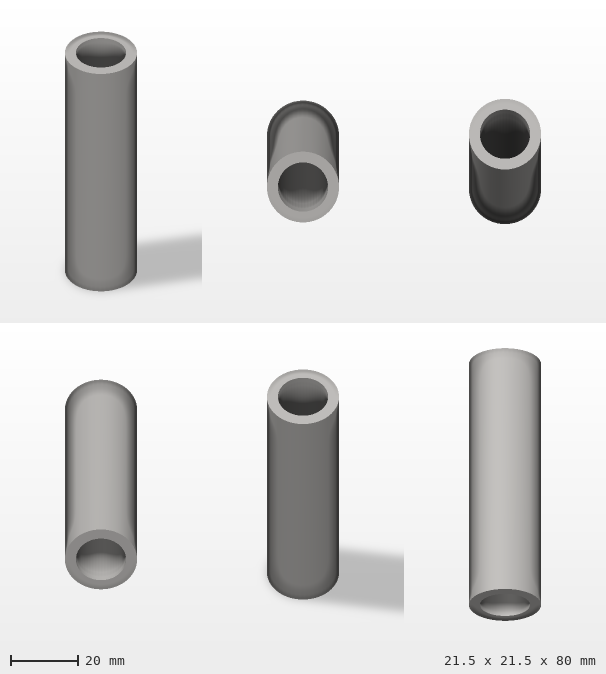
import cadquery as cq

length = 80.0
outer_diameter = 21.5
wall_thickness = 3.3
bore_diameter = outer_diameter - 2 * wall_thickness

result = (
    cq.Workplane("XY")
    .circle(outer_diameter / 2)
    .circle(bore_diameter / 2)
    .extrude(length)
)